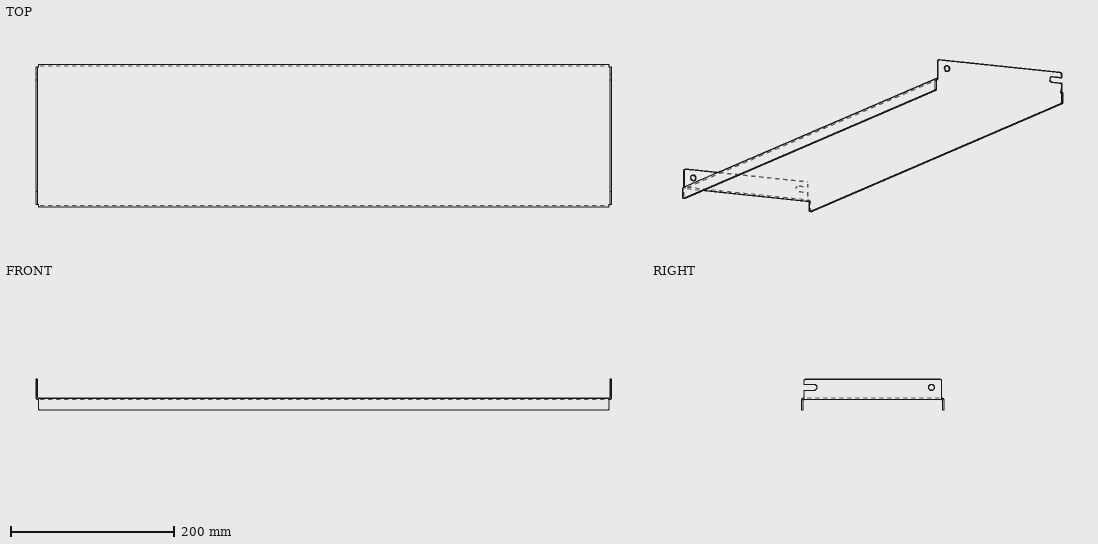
import cadquery as cq
import math

overall_length = 706.0
overall_width = 175.0
overall_height = 38.0

sheet = 2.0
bend_radius = 3.0
inner_radius = bend_radius - sheet

side_drop = 15.0
corner_radius = 2.0
flat_length = overall_length - 2 * bend_radius
flat_width = overall_width - 2 * bend_radius
shelf_bottom = side_drop - sheet

hole_diameter = 7.0
hole_offset = 72.0
hole_height = 28.0

half_length = overall_length / 2
half_width = overall_width / 2


def bent_flange(profile_plane, span, reach, rise):
    """Outward quarter bend rising into a straight flange, extruded symmetrically over the span.

    The outer face of the shelf lies at height zero. The straight flange has its outer
    face at the distance reach and its free edge at the height rise.
    """
    bend_start = reach - bend_radius
    inner_face = reach - sheet
    diagonal = math.sqrt(0.5)
    outer_middle = (bend_start + bend_radius * diagonal, bend_radius * (1 - diagonal))
    inner_middle = (bend_start + inner_radius * diagonal, bend_radius - inner_radius * diagonal)
    return (
        cq.Workplane(profile_plane)
        .moveTo(bend_start, 0)
        .threePointArc(outer_middle, (reach, bend_radius))
        .lineTo(reach, rise)
        .lineTo(inner_face, rise)
        .lineTo(inner_face, bend_radius)
        .threePointArc(inner_middle, (bend_start, sheet))
        .close()
        .extrude(span / 2, both=True)
    )


def shelf_plate():
    return cq.Workplane("XY").workplane(offset=shelf_bottom).rect(flat_length, flat_width).extrude(sheet)


def end_flange():
    """Upright flange at the +X end."""
    flange = bent_flange("XZ", flat_width, half_length, overall_height - shelf_bottom)
    flange = flange.faces(">Z").edges("|X").fillet(corner_radius)
    return flange.translate((0, 0, shelf_bottom))


def side_flange():
    """Hanging flange along the +Y side, made upright and then turned over."""
    flange = bent_flange("YZ", flat_length, half_width, side_drop)
    flange = flange.faces(">Z").edges("|Y").fillet(corner_radius)
    return flange.mirror("XY").translate((0, 0, side_drop))


def end_openings():
    """Round hole near the +Y side and round-ended slot open to the -Y side, cut through both ends."""
    round_cuts = (
        cq.Workplane("YZ")
        .pushPoints([(hole_offset, hole_height), (-hole_offset, hole_height)])
        .circle(hole_diameter / 2)
        .extrude(half_length, both=True)
    )
    slot_length = half_width - hole_offset
    slot_mouth = (
        cq.Workplane("YZ")
        .center(-hole_offset - slot_length / 2, hole_height)
        .rect(slot_length, hole_diameter)
        .extrude(half_length, both=True)
    )
    return round_cuts.union(slot_mouth)


result = shelf_plate()
for flange, mirror_plane in ((end_flange(), "YZ"), (side_flange(), "XZ")):
    result = result.union(flange).union(flange.mirror(mirror_plane))
result = result.cut(end_openings())